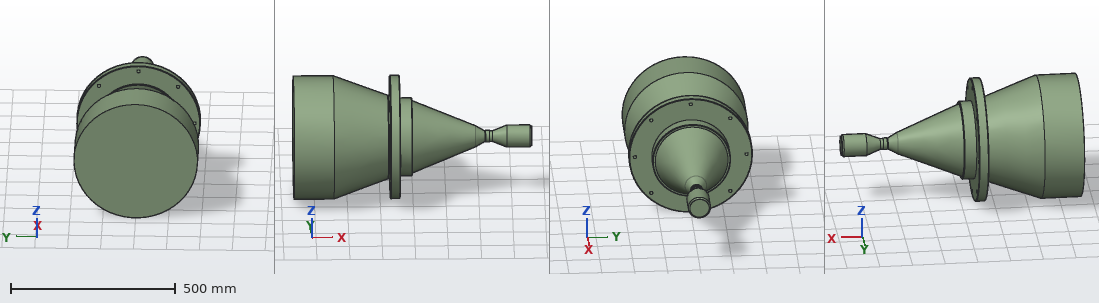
import cadquery as cq

length = 724.0
drum_end = 121.0
rear_cone_end = 286.0
rear_land_end = 289.0
flange_start = 292.5
flange_end = 322.0
collar_end = 360.0
front_cone_end = 552.5
neck_start = 581.0
neck_ring_start = 583.5
neck_ring_end = 595.0
neck_end = 604.5
tip_start = 648.0

drum_radius = 376.0 / 2
flange_radius = drum_radius
rear_cone_end_radius = 127.5
hub_radius = 129.0
collar_radius = 119.0
front_cone_start_radius = 111.0
front_cone_end_radius = 32.5
neck_ring_radius = 18.0
neck_radius = 17.0
tip_radius = 34.0

flange_chamfer = 2.0
collar_chamfer = 2.0
tip_chamfer = 4.0
tip_end_land = 2.0
hole_count = 8
hole_circle_radius = 170.0
hole_diameter = 9.5


def make_body():
    """Revolve the stepped outline about X."""
    outline = [
        (0, 0),
        (0, drum_radius),
        (drum_end, drum_radius),
        (rear_cone_end, rear_cone_end_radius),
        (rear_land_end, rear_cone_end_radius),
        (flange_start, hub_radius),
        (flange_start, flange_radius - flange_chamfer),
        (flange_start + flange_chamfer, flange_radius),
        (flange_end - flange_chamfer, flange_radius),
        (flange_end, flange_radius - flange_chamfer),
        (flange_end, collar_radius),
        (collar_end - collar_chamfer, collar_radius),
        (collar_end, collar_radius - collar_chamfer),
        (collar_end, front_cone_start_radius),
        (front_cone_end, front_cone_end_radius),
        (neck_start, neck_radius),
        (neck_ring_start, neck_radius),
        (neck_ring_start, neck_ring_radius),
        (neck_ring_end, neck_ring_radius),
        (neck_ring_end, neck_radius),
        (neck_end, neck_radius),
        (tip_start, tip_radius),
        (length - tip_end_land - tip_chamfer, tip_radius),
        (length - tip_end_land, tip_radius - tip_chamfer),
        (length, tip_radius - tip_chamfer),
        (length, 0),
    ]
    return cq.Workplane("XZ").polyline(outline).close().revolve(360, (0, 0, 0), (1, 0, 0))


def make_flange_holes():
    """Bolt holes running through the flange, evenly spaced about X."""
    return (
        cq.Workplane("YZ", origin=(flange_start, 0, 0))
        .polarArray(hole_circle_radius, 0, 360, hole_count)
        .circle(hole_diameter / 2)
        .extrude(flange_end - flange_start)
    )


result = make_body().cut(make_flange_holes())